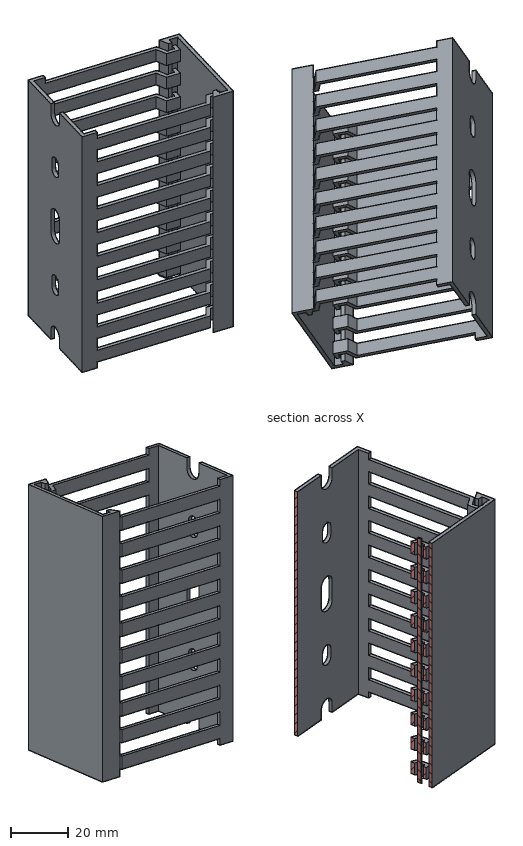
import cadquery as cq

width = 40.0
depth = 60.0
length = 100.0
wall = 1.5
half_width = width / 2

floor_rail_height = 6.0
finger_pitch = 10.0
finger_width = 5.0
finger_count = round(length / finger_pitch)

hook_top = 2.5
hook_bottom = hook_top + wall
hook_lip_inset = 2.0
hook_inset = 4.0
hook_inner_inset = hook_inset + wall
slope = 0.5
shoulder_drop = 9.0
inner_shoulder_drop = 10.0

cover_skirt = 8.0
cover_lip_top = 4.75
cover_lip_inset = 3.5

large_slot_length = 14.0
large_slot_width = 6.4
large_slot_pitch = length / 2
small_slot_length = 8.0
small_slot_width = 4.8
small_slot_offset = length / 4


def mirrored_profile(right_half):
    """Join the +X half of an outline to its mirror image in X and close it."""
    left_half = [(-x, y) for x, y in reversed(right_half)]
    return cq.Workplane("XY").polyline(right_half + left_half).close()


def from_cover(inset, drop):
    """Point placed by its distance in from the +X side and down from the cover's outer face."""
    return (half_width - inset, depth - drop)


def duct_profile():
    """U-shaped channel whose side walls end in outward-facing hooks."""
    return mirrored_profile([
        (half_width, 0),
        from_cover(0, shoulder_drop),
        from_cover(hook_inset, shoulder_drop - slope * hook_inset),
        from_cover(hook_inset, hook_bottom),
        from_cover(hook_lip_inset, hook_bottom),
        from_cover(hook_lip_inset, hook_top),
        from_cover(hook_inner_inset, hook_top),
        from_cover(hook_inner_inset, inner_shoulder_drop - slope * (hook_inner_inset - wall)),
        from_cover(wall, inner_shoulder_drop),
        (half_width - wall, wall),
    ])


def finger_gaps():
    """Gaps between the fingers; the two end gaps run out past the ends of the duct."""
    gap_height = finger_pitch - finger_width
    gap = cq.Workplane("XY").box(width, depth - floor_rail_height, gap_height, centered=(True, False, True))
    gaps = cq.Workplane("XY")
    for index in range(finger_count + 1):
        z = -length / 2 + index * finger_pitch
        gaps = gaps.union(gap.translate((0, floor_rail_height, z)))
    return gaps


def floor_slots(slot_length, slot_width, heights):
    """Round-ended slots along Z through the floor, centred at the given heights."""
    return (
        cq.Workplane("XZ")
        .pushPoints([(0, z) for z in heights])
        .slot2D(slot_length, slot_width, 90)
        .extrude(-wall)
    )


def make_duct():
    duct = duct_profile().extrude(length / 2, both=True)
    duct = duct.cut(finger_gaps())
    duct = duct.cut(floor_slots(large_slot_length, large_slot_width, (-large_slot_pitch, 0, large_slot_pitch)))
    return duct.cut(floor_slots(small_slot_length, small_slot_width, (-small_slot_offset, small_slot_offset)))


def make_cover():
    """Shallow channel with wedge-shaped lips that snap under the finger hooks."""
    profile = mirrored_profile([
        from_cover(wall, wall),
        from_cover(wall, cover_lip_top),
        from_cover(cover_lip_inset, cover_lip_top),
        from_cover(cover_lip_inset, cover_skirt - slope * cover_lip_inset),
        from_cover(0, cover_skirt),
        from_cover(0, 0),
    ])
    return profile.extrude(length / 2, both=True)


duct = make_duct()
cover = make_cover()
result = cq.Compound.makeCompound([duct.val(), cover.val()])